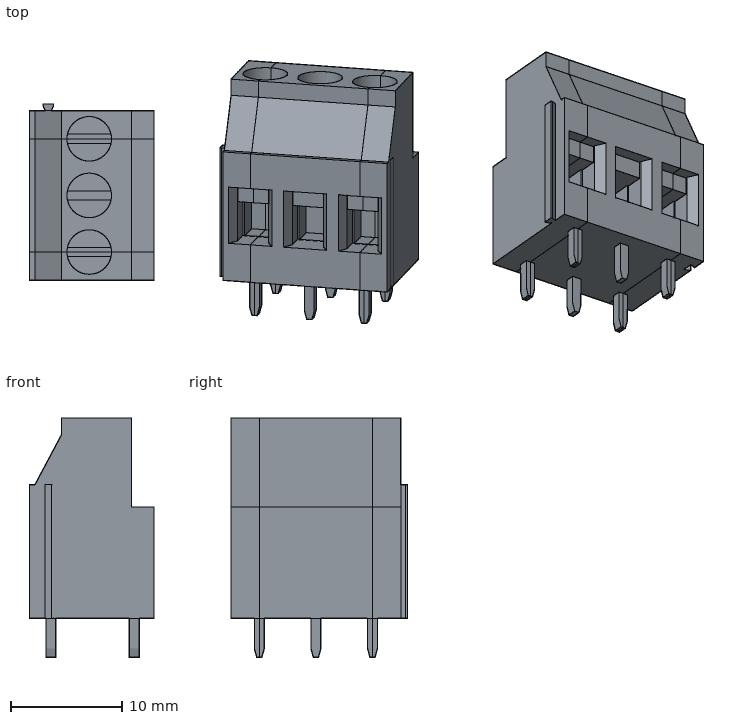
import cadquery as cq


BLOCK_DEPTH = 11.2
BLOCK_LENGTH = 15.25
PIN_LENGTH = 3.5
BLOCK_HEIGHT = 21.5 - PIN_LENGTH
FRONT_HEIGHT = 12.0
FRONT_LIP = 0.5
TOWER_FRONT = 2.88
TOWER_FRONT_HEIGHT = 1.5
TOWER_BACK = 9.18
LEDGE_HEIGHT = 10.0

POLE_COUNT = 3
PITCH = BLOCK_LENGTH / POLE_COUNT
POLE_POSITIONS = [(index + 0.5) * PITCH for index in range(POLE_COUNT)]

SCREW_X = 5.38
SCREW_DIAMETER = 4.0
WELL_DEPTH = 2.0
SLOT_WIDTH = 0.84
SLOT_DEPTH = 0.5

ENTRY_FLOOR = 3.5
ENTRY_HEIGHT = 5.25
ENTRY_WIDTH = 4.0
FUNNEL_DEPTH = 0.99
LINTEL_DEPTH = 1.16
CHAMBER_WIDTH = 2.88
CHAMBER_HEIGHT = 3.61
CHAMBER_DEPTH = 2.88
RECESS_WIDTH = 2.58
RECESS_FLOOR_DROP = 0.06
RECESS_DEPTH = SCREW_X

PIN_POSITIONS_X = [1.94, 9.42]
PIN_THICKNESS = 0.9
PIN_WIDTH = 0.9
PIN_TIP_WIDTH = 0.47
PIN_TIP_LENGTH = 0.77

DOVETAIL_X = 1.7
TONGUE_HEIGHT = 0.6
DOVETAIL_LAND = 0.17
DOVETAIL_NECK_WIDTH = 0.55
DOVETAIL_EDGE_WIDTH = 0.97


def make_housing():
    """Plain housing of the whole row, without openings."""
    return (
        cq.Workplane("XZ")
        .polyline([
            (0, 0),
            (BLOCK_DEPTH, 0),
            (BLOCK_DEPTH, LEDGE_HEIGHT),
            (TOWER_BACK, LEDGE_HEIGHT),
            (TOWER_BACK, BLOCK_HEIGHT),
            (TOWER_FRONT, BLOCK_HEIGHT),
            (TOWER_FRONT, BLOCK_HEIGHT - TOWER_FRONT_HEIGHT),
            (FRONT_LIP, FRONT_HEIGHT),
            (0, FRONT_HEIGHT),
        ])
        .close()
        .extrude(-BLOCK_LENGTH)
    )


def make_screw_well(y):
    """Space above one screw head, with the driver slot across the head along X."""
    slot_floor = BLOCK_HEIGHT - WELL_DEPTH - SLOT_DEPTH
    half_width = (SCREW_DIAMETER - SLOT_WIDTH) / 2
    half_offset = (SLOT_WIDTH + half_width) / 2
    bore = (
        cq.Workplane("XY", origin=(SCREW_X, y, slot_floor))
        .circle(SCREW_DIAMETER / 2)
        .extrude(BLOCK_HEIGHT - slot_floor)
        .rotate((SCREW_X, y, 0), (SCREW_X, y, 1), 90)
    )
    head_halves = (
        cq.Workplane("XY", origin=(SCREW_X, y, slot_floor))
        .pushPoints([(0, -half_offset), (0, half_offset)])
        .rect(SCREW_DIAMETER, half_width)
        .extrude(SLOT_DEPTH)
    )
    return bore.cut(head_halves)


def make_wire_entry(y):
    """Space of one wire entry, open at the front face."""
    floor = cq.Workplane("XY", origin=(0, y, ENTRY_FLOOR))
    funnel = (
        floor.polyline([
            (0, -ENTRY_WIDTH / 2),
            (FUNNEL_DEPTH, -CHAMBER_WIDTH / 2),
            (LINTEL_DEPTH, -CHAMBER_WIDTH / 2),
            (LINTEL_DEPTH, CHAMBER_WIDTH / 2),
            (FUNNEL_DEPTH, CHAMBER_WIDTH / 2),
            (0, ENTRY_WIDTH / 2),
        ])
        .close()
        .extrude(ENTRY_HEIGHT)
    )
    chamber = floor.box(CHAMBER_DEPTH, CHAMBER_WIDTH, CHAMBER_HEIGHT, centered=(False, True, False))
    recess_height = CHAMBER_HEIGHT + RECESS_FLOOR_DROP
    recess = (
        cq.Workplane("XY", origin=(CHAMBER_DEPTH, y, ENTRY_FLOOR - RECESS_FLOOR_DROP))
        .box(RECESS_DEPTH - CHAMBER_DEPTH, RECESS_WIDTH, recess_height, centered=(False, True, False))
    )
    return funnel.union(chamber).union(recess)


def make_pin(x, y):
    """Solder pin below the housing, narrowed in Y at its tip."""
    taper_start = PIN_TIP_LENGTH - PIN_LENGTH
    return (
        cq.Workplane("YZ", origin=(x - PIN_THICKNESS / 2, y, 0))
        .polyline([
            (-PIN_WIDTH / 2, 0),
            (-PIN_WIDTH / 2, taper_start),
            (-PIN_TIP_WIDTH / 2, -PIN_LENGTH),
            (PIN_TIP_WIDTH / 2, -PIN_LENGTH),
            (PIN_WIDTH / 2, taper_start),
            (PIN_WIDTH / 2, 0),
        ])
        .close()
        .extrude(PIN_THICKNESS)
    )


def make_dovetail(y):
    """Dovetail bar that widens in +Y from its neck at the given Y plane."""
    shoulder = TONGUE_HEIGHT - DOVETAIL_LAND
    return (
        cq.Workplane("XY", origin=(DOVETAIL_X, y, 0))
        .polyline([
            (-DOVETAIL_NECK_WIDTH / 2, 0),
            (-DOVETAIL_EDGE_WIDTH / 2, shoulder),
            (-DOVETAIL_EDGE_WIDTH / 2, TONGUE_HEIGHT),
            (DOVETAIL_EDGE_WIDTH / 2, TONGUE_HEIGHT),
            (DOVETAIL_EDGE_WIDTH / 2, shoulder),
            (DOVETAIL_NECK_WIDTH / 2, 0),
        ])
        .close()
        .extrude(FRONT_HEIGHT)
    )


def make_terminal_row():
    """Complete row of poles, before it is divided and without its dovetails."""
    row = make_housing()
    for y in POLE_POSITIONS:
        row = row.cut(make_screw_well(y)).cut(make_wire_entry(y))
        for x in PIN_POSITIONS_X:
            row = row.union(make_pin(x, y))
    return row


def make_slice(row, y_start, y_end):
    """Part of the row between two Y planes."""
    slab = cq.Workplane("XY", origin=(0, y_start, -PIN_LENGTH)).box(
        BLOCK_DEPTH, y_end - y_start, PIN_LENGTH + BLOCK_HEIGHT, centered=False
    )
    return row.intersect(slab)


FIRST_JOINT = POLE_POSITIONS[0]
LAST_JOINT = POLE_POSITIONS[-1]
terminal_row = make_terminal_row()

grooved_end = make_slice(terminal_row, 0, FIRST_JOINT).cut(make_dovetail(0))
middle = make_slice(terminal_row, FIRST_JOINT, LAST_JOINT)
tongued_end = make_slice(terminal_row, LAST_JOINT, BLOCK_LENGTH).union(make_dovetail(BLOCK_LENGTH))

bodies = [grooved_end, middle, tongued_end]
result = cq.Compound.makeCompound([body.solids().val() for body in bodies])